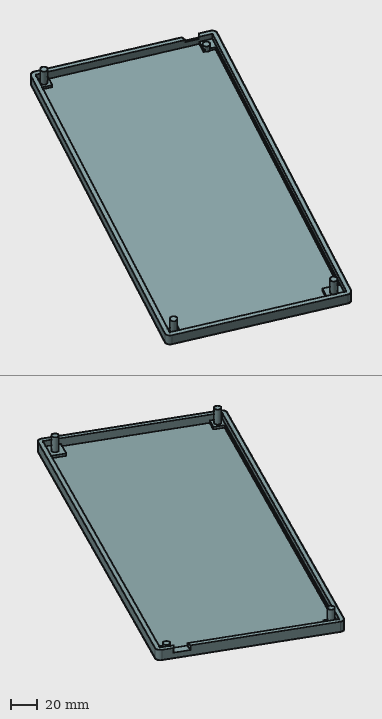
import cadquery as cq

length = 315.2
width = 148.5
overall_height = 17.3
rim_height = 9.0
corner_radius = 4.0
wall = 3.8
floor_thickness = 2.0

pad_top = 4.0
ledge_width = 1.0
small_pad = 9.8
back_left_pad_depth = 10.5
large_pad = 14.2

pin_diameter = 5.7
back_left_pin_top = 7.2
front_pin_x = 149.0
front_pin_y = -65.5
back_pin_x = 146.2
back_pin_y = 63.0

notch_center_y = 54.2
notch_outer_length = 13.5
notch_outer_depth = 4.0
notch_end_flare = 1.5
notch_floor_rise = 2.0

inner_x = length / 2 - wall
inner_y = width / 2 - wall


def make_tray():
    """Rounded outer block with a square-cornered pocket."""
    body = cq.Workplane("XY").box(length, width, rim_height, centered=(True, True, False))
    body = body.edges("|Z").fillet(corner_radius)
    pocket = (
        cq.Workplane("XY")
        .workplane(offset=floor_thickness)
        .rect(2 * inner_x, 2 * inner_y)
        .extrude(rim_height)
    )
    return body.cut(pocket)


def make_pad(side_x, side_y, size_x, size_y):
    """Raised rectangle in the pocket corner given by the signs side_x and side_y."""
    return (
        cq.Workplane("XY")
        .center(side_x * (inner_x - size_x / 2), side_y * (inner_y - size_y / 2))
        .rect(size_x, size_y)
        .extrude(pad_top)
    )


def make_ledge(side_y):
    """Narrow step along one long wall."""
    return (
        cq.Workplane("XY")
        .center(0, side_y * (inner_y - ledge_width / 2))
        .rect(2 * inner_x, ledge_width)
        .extrude(pad_top)
    )


def make_pin(x, y, top):
    """Pin rising from the underside of the tray to the height top."""
    return cq.Workplane("XY").center(x, y).circle(pin_diameter / 2).extrude(top)


def make_notch():
    """Cutter that narrows from the outer face of the left wall to its inner face."""
    return (
        cq.Workplane("YZ", origin=(-length / 2, notch_center_y, rim_height))
        .rect(notch_outer_length, 2 * notch_outer_depth)
        .workplane(offset=wall)
        .rect(notch_outer_length - 2 * notch_end_flare, 2 * (notch_outer_depth - notch_floor_rise))
        .loft(ruled=True)
    )


result = make_tray().cut(make_notch())

for side in (-1, 1):
    result = result.union(make_ledge(side))
    result = result.union(make_pad(side, -1, small_pad, small_pad))
    result = result.union(make_pin(side * front_pin_x, front_pin_y, overall_height))

result = result.union(make_pad(-1, 1, small_pad, back_left_pad_depth))
result = result.union(make_pad(1, 1, large_pad, large_pad))
result = result.union(make_pin(-back_pin_x, back_pin_y, back_left_pin_top))
result = result.union(make_pin(back_pin_x, back_pin_y, overall_height))